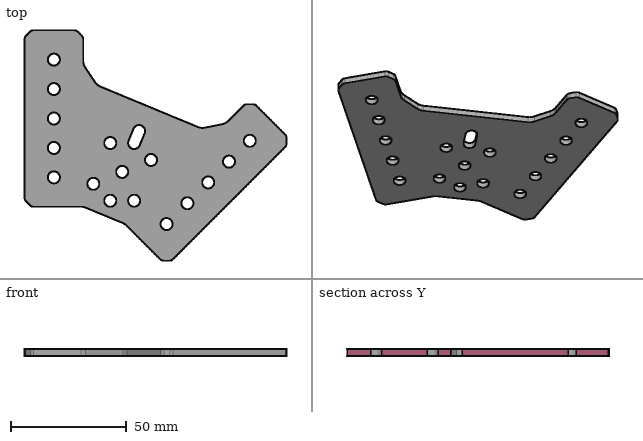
import cadquery as cq
import math


PITCH = 12.7
THICKNESS = PITCH / 4
ROW_COUNT = 5
ROW_MARGIN = PITCH
ROW_TILT = 22.5
ROW_FOOT_X = 26.31
HOLE_DIAMETER = 5.1
SIDES = (1, -1)

CHAMFER = 3.0
CHAMFER_EDGE_RADIUS = 2.0

WEB_TOP_Y = 43.9
WEB_TOP_HALF_WIDTH = 24.3
INNER_EDGE_END = 48.7
WEB_BEND_RADIUS = 5.08

CIRCLE_RADIUS = 1.5 * PITCH / math.sqrt(2)
CIRCLE_CENTER_Y = CIRCLE_RADIUS
CIRCLE_HOLE_ANGLES = (45, 135, 225, 270, 315)
SLOT_REACH = 1.5 * PITCH
SLOT_ANGLE = 90


def arm_point(side, across, along):
    """Point of one arm: across is measured outward and along upward from its foot hole."""
    tilt = math.radians(ROW_TILT)
    x = ROW_FOOT_X + across * math.cos(tilt) + along * math.sin(tilt)
    y = along * math.cos(tilt) - across * math.sin(tilt)
    return side * x, y


def arm_corners(side):
    """Chamfered outer corners of one arm, in order from the foot end to the far end."""
    arm_end = (ROW_COUNT - 1) * PITCH + ROW_MARGIN
    inset = ROW_MARGIN - CHAMFER
    return [
        arm_point(side, inset, -ROW_MARGIN),
        arm_point(side, ROW_MARGIN, -inset),
        arm_point(side, ROW_MARGIN, arm_end - CHAMFER),
        arm_point(side, inset, arm_end),
        arm_point(side, -inset, arm_end),
        arm_point(side, -ROW_MARGIN, arm_end - CHAMFER),
    ]


def web_bottom_corner(side):
    """Inner foot corner of an arm, where the lower edge of the web starts."""
    return arm_point(side, -ROW_MARGIN, -ROW_MARGIN)


def web_top_corners(side):
    """Bends from the inner edge of an arm to the upper edge of the web."""
    return [
        arm_point(side, -ROW_MARGIN, INNER_EDGE_END),
        (side * WEB_TOP_HALF_WIDTH, WEB_TOP_Y),
    ]


def outline_half(side):
    """Corners of one half of the outline, from the lower edge round to the upper edge."""
    return [web_bottom_corner(side)] + arm_corners(side) + web_top_corners(side)


def round_upright_edges(body, corners, radius):
    for x, y in corners:
        edge = cq.selectors.NearestToPointSelector((x, y, THICKNESS / 2))
        body = body.edges(edge).fillet(radius)
    return body


def make_plate():
    outline = outline_half(1) + outline_half(-1)[::-1]
    body = cq.Workplane("XY").polyline(outline).close().extrude(THICKNESS)
    for side in SIDES:
        web_bends = [web_bottom_corner(side)] + web_top_corners(side)
        body = round_upright_edges(body, web_bends, WEB_BEND_RADIUS)
        body = round_upright_edges(body, arm_corners(side), CHAMFER_EDGE_RADIUS)
    return body


def hole_centers():
    centers = [(0, CIRCLE_CENTER_Y)]
    for angle in CIRCLE_HOLE_ANGLES:
        x = CIRCLE_RADIUS * math.cos(math.radians(angle))
        y = CIRCLE_CENTER_Y + CIRCLE_RADIUS * math.sin(math.radians(angle))
        centers.append((x, y))
    for side in SIDES:
        for index in range(ROW_COUNT):
            centers.append(arm_point(side, 0, index * PITCH))
    return centers


def make_holes():
    return cq.Workplane("XY").pushPoints(hole_centers()).circle(HOLE_DIAMETER / 2).extrude(THICKNESS)


def make_slot():
    """Slot on the Y axis, from the hole circle outward to SLOT_REACH from the centre hole."""
    middle_y = CIRCLE_CENTER_Y + (CIRCLE_RADIUS + SLOT_REACH) / 2
    length = SLOT_REACH - CIRCLE_RADIUS + HOLE_DIAMETER
    return cq.Workplane("XY").center(0, middle_y).slot2D(length, HOLE_DIAMETER, SLOT_ANGLE).extrude(THICKNESS)


plate = make_plate().cut(make_holes()).cut(make_slot())
result = plate.rotate((0, 0, 0), (0, 0, 1), -ROW_TILT)